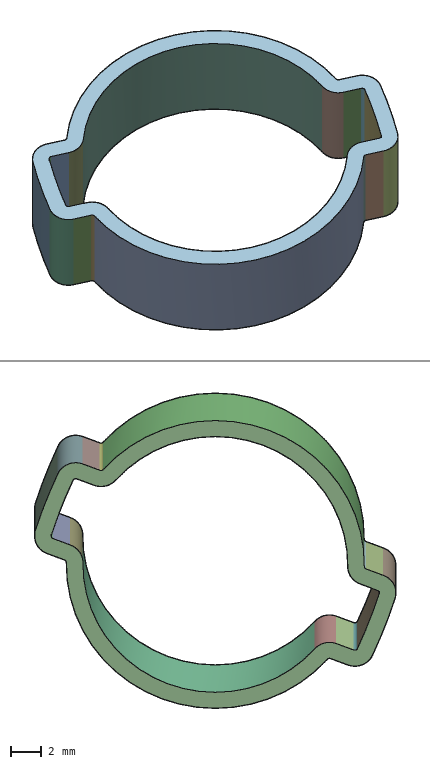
import cadquery as cq
import math


band_height = 7.0
wall = 1.1
ring_diameter = 19.7
length_over_ears = 24.0
ear_width = 6.57
crown_radius = 33.59

ear_corner_bend = 0.2
neck_bend = 0.2


def ear_bar(inset):
    """Bar spanning both ears, with bowed ends, shrunk inward by inset."""
    half_width = ear_width / 2 - inset
    tip = length_over_ears / 2 - inset
    radius = crown_radius - inset
    bow = radius - math.sqrt(radius**2 - half_width**2)
    corner = tip - bow
    return (
        cq.Workplane("XY")
        .moveTo(half_width, -corner)
        .lineTo(half_width, corner)
        .threePointArc((0, tip), (-half_width, corner))
        .lineTo(-half_width, -corner)
        .threePointArc((0, -tip), (half_width, -corner))
        .close()
        .extrude(band_height)
    )


def edges_between(y_low, y_high):
    """Selector for edges near either ear whose distance from the X axis is y_low to y_high."""
    front = cq.selectors.BoxSelector((-ear_width, -y_high, 0), (ear_width, -y_low, band_height))
    back = cq.selectors.BoxSelector((-ear_width, y_low, 0), (ear_width, y_high, band_height))
    return front + back


def clamp_outline(inset, ear_corner_radius, neck_radius):
    """Filled clamp shape, shrunk inward by inset, with its bends rounded."""
    ring_radius = ring_diameter / 2 - inset
    ring = cq.Workplane("XY").circle(ring_radius).extrude(band_height)
    body = ring.union(ear_bar(inset))

    body = body.edges("|Z").edges(edges_between(ring_radius, length_over_ears)).fillet(ear_corner_radius)
    body = body.edges("|Z").edges(edges_between(ring_radius / 2, ring_radius)).fillet(neck_radius)
    return body


outside = clamp_outline(0, ear_corner_bend + wall, neck_bend)
inside = clamp_outline(wall, ear_corner_bend, neck_bend + wall)

result = outside.cut(inside)